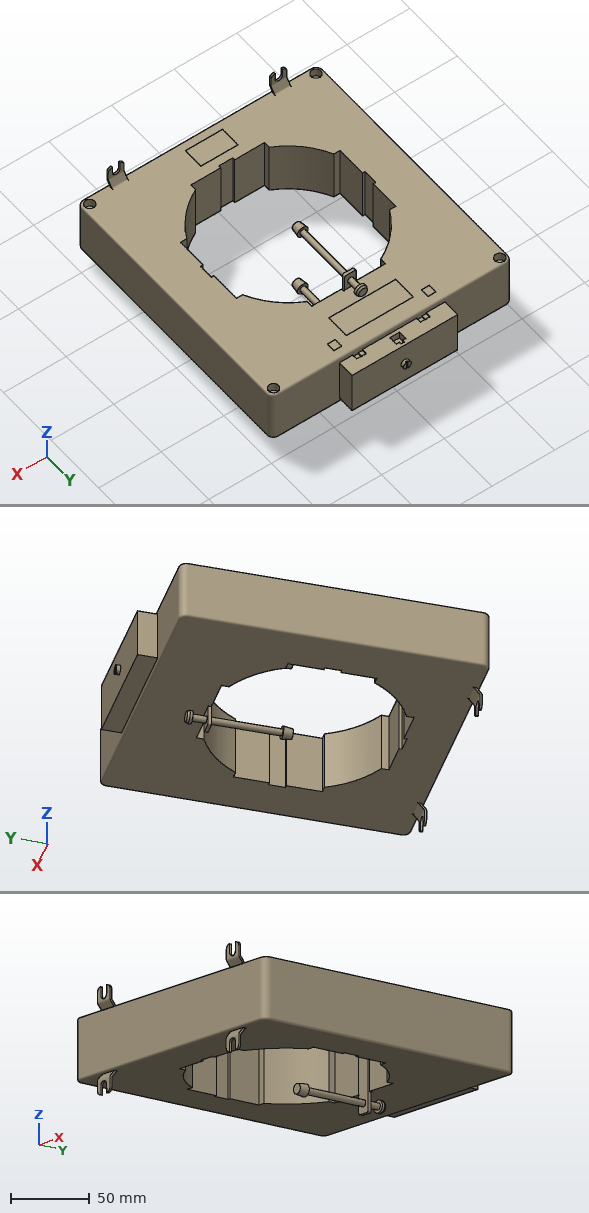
import cadquery as cq
import math


housing_width = 192.0
housing_front = -95.5
housing_back = 109.3
housing_height = 42.0
corner_radius = 5.0
edge_fillet = 1.5
housing_top = housing_height / 2

window_radius = 65.5
flat_distance = 63.5
flat_length = 58.7
slot_width = 11.0
slot_distance = window_radius

corner_hole_diameter = 7.8
corner_hole_depth = 6.7
corner_hole_inset = 5.8

label_depth = 0.2
square_label_x = 37.5
labels = [
    (53.3, 18.5, 0, 87.0),
    (29.5, 16.2, 0, -80.5),
    (6.2, 6.9, -square_label_x, 98.2),
    (6.2, 6.9, square_label_x, 98.2),
]

foot_sheet = 1.5
foot_width = 12.7
foot_spacing = 129.8
feet_overall_height = 71.3
foot_tip_z = feet_overall_height / 2
foot_bend_z = 25.3
foot_slope_angle = 50
foot_flange_length = 2.2
foot_bend_radius = 1.3
foot_corner_radius = 3.3
foot_outer_y = -96.9
foot_slot_width = 5.8
foot_slot_bottom_z = 27.0

block_width = 84.2
block_back = 122.7
block_height = 34.5
block_top = block_height / 2
knob_diameter = 6.2
knob_length = 2.7
knob_slot_width = 1.3
knob_slot_depth = 0.9
pocket_width = 7.5
pocket_front = 112.0
pocket_shoulder = 118.7
pocket_back = 120.5
pocket_neck_width = 2.5
pocket_depth = 5.5
notch_length = 4.0
notch_floors = [(3.3, 0.9), (4.2, 1.8)]
notch_left_edges = [-27.0, 23.8]

strap_width = 9.3
strap_thickness = 2.5
strap_height = 69.0
strap_corner_radius = 1.3
strap_back = slot_distance

screw_z = 27.8
shank_diameter = 4.7
head_diameter = 8.7
head_back = 78.7
head_length = 3.5
head_bevel_length = 1.5
head_bevel = 0.9
tip_start = 15.3
tip_length = 6.7
tip_diameter = 6.9


def centred_box(width, length, height, x, y, z=0):
    """A box given by its sizes and its centre."""
    return cq.Workplane("XY").box(width, length, height).translate((x, y, z))


def box_from_y(width, y_front, y_back, height, z=0):
    """A box centred on x = 0 that runs from y_front to y_back."""
    return centred_box(width, y_back - y_front, height, 0, (y_front + y_back) / 2, z)


def make_window():
    """A round opening with four flats, each with a slot at its middle."""
    round_part = cq.Workplane("XY").circle(window_radius).extrude(housing_top, both=True)
    bounds = centred_box(2 * flat_distance, 2 * flat_distance, housing_height, 0, 0)
    window = round_part.intersect(bounds)
    for turn in (0, 90):
        flats = centred_box(2 * flat_distance, flat_length, housing_height, 0, 0)
        slots = centred_box(2 * slot_distance, slot_width, housing_height, 0, 0)
        window = window.union(flats.union(slots).rotate((0, 0, 0), (0, 0, 1), turn))
    return window


def make_upper_foot(x):
    """Bent sheet: a flange flush in the top face, a slope and an upright slotted tongue."""
    root_z = housing_top - foot_sheet
    inner_y = foot_outer_y + foot_sheet
    bend_shift = foot_sheet * math.tan(math.radians((90 - foot_slope_angle) / 2))
    run_per_drop = 1 / math.tan(math.radians(foot_slope_angle))
    inner_bend_z = foot_bend_z + bend_shift
    slope_foot_y = inner_y + run_per_drop * (inner_bend_z - housing_top)
    flange_end_y = slope_foot_y + foot_flange_length
    profile = [
        (foot_outer_y, foot_tip_z),
        (foot_outer_y, foot_bend_z),
        (foot_outer_y + run_per_drop * (foot_bend_z - root_z), root_z),
        (flange_end_y, root_z),
        (flange_end_y, housing_top),
        (slope_foot_y, housing_top),
        (inner_y, inner_bend_z),
        (inner_y, foot_tip_z),
    ]
    foot = cq.Workplane("YZ").polyline(profile).close().extrude(foot_width / 2, both=True)
    outer_bend = cq.selectors.NearestToPointSelector((0, foot_outer_y, foot_bend_z))
    foot = foot.edges("|X").edges(outer_bend).fillet(foot_bend_radius + foot_sheet)
    inner_bend = cq.selectors.NearestToPointSelector((0, inner_y, inner_bend_z))
    slope_foot = cq.selectors.NearestToPointSelector((0, slope_foot_y, housing_top))
    for bend in (inner_bend, slope_foot):
        foot = foot.edges("|X").edges(bend).fillet(foot_bend_radius)
    foot = foot.faces(">Z").edges("|Y").fillet(foot_corner_radius)

    slot_radius = foot_slot_width / 2
    slot_centre_z = foot_slot_bottom_z + slot_radius
    slot = (
        cq.Workplane("XZ", origin=(0, inner_y, 0))
        .moveTo(-slot_radius, foot_tip_z)
        .lineTo(-slot_radius, slot_centre_z)
        .threePointArc((0, foot_slot_bottom_z), (slot_radius, slot_centre_z))
        .lineTo(slot_radius, foot_tip_z)
        .close()
        .extrude(foot_sheet)
    )
    return foot.cut(slot).translate((x, 0, 0))


def make_housing():
    housing = (
        box_from_y(housing_width, housing_front, housing_back, housing_height)
        .edges("|Z")
        .fillet(corner_radius)
        .faces("<Z or >Z")
        .edges()
        .fillet(edge_fillet)
    )
    housing = housing.cut(make_window())

    hole_x = housing_width / 2 - corner_hole_inset
    hole_points = [
        (x, y)
        for x in (-hole_x, hole_x)
        for y in (housing_front + corner_hole_inset, housing_back - corner_hole_inset)
    ]
    holes = (
        cq.Workplane("XY", origin=(0, 0, housing_top))
        .pushPoints(hole_points)
        .circle(corner_hole_diameter / 2)
        .extrude(-corner_hole_depth)
    )
    housing = housing.cut(holes)

    for width, length, x, y in labels:
        housing = housing.cut(centred_box(width, length, 2 * label_depth, x, y, housing_top))

    for x in (-foot_spacing / 2, foot_spacing / 2):
        foot = make_upper_foot(x)
        housing = housing.union(foot).union(foot.mirror("XY"))
    return housing


def make_terminal_block():
    block = box_from_y(block_width, housing_back, block_back, block_height)

    knob_back = block_back + knob_length
    knob = cq.Workplane("XZ", origin=(0, block_back, 0)).circle(knob_diameter / 2).extrude(-knob_length)
    knob_slot = box_from_y(knob_slot_width, knob_back - knob_slot_depth, knob_back, knob_diameter)
    block = block.union(knob.cut(knob_slot))

    pocket = box_from_y(pocket_width, pocket_front, pocket_shoulder, 2 * pocket_depth, block_top)
    neck = box_from_y(pocket_neck_width, pocket_shoulder, pocket_back, 2 * pocket_depth, block_top)
    block = block.cut(pocket.union(neck))

    for left_edge in notch_left_edges:
        x = left_edge
        for width, depth in notch_floors:
            notch = box_from_y(width, housing_back, housing_back + notch_length, 2 * depth, block_top)
            block = block.cut(notch.translate((x + width / 2, 0, 0)))
            x += width
    return block


def make_screw(z):
    """A screw along Y with a bevelled head at the back and a tapered tip at the front."""
    head_radius = head_diameter / 2
    shank_radius = shank_diameter / 2
    head_front = head_back - head_length
    half_outline = [
        (0, head_back),
        (head_radius - head_bevel, head_back),
        (head_radius, head_back - head_bevel_length),
        (head_radius, head_front),
        (shank_radius, head_front),
        (shank_radius, tip_start),
        (head_radius, tip_start),
        (tip_diameter / 2, tip_start - tip_length),
        (0, tip_start - tip_length),
    ]
    screw = cq.Workplane("XY").polyline(half_outline).close().revolve(360, (0, 0, 0), (0, 1, 0))
    return screw.translate((0, 0, z))


def make_strap():
    """A flat bar in the back slot of the window, with a hole for each screw."""
    strap = box_from_y(strap_width, strap_back - strap_thickness, strap_back, strap_height)
    strap = strap.edges("|Y").fillet(strap_corner_radius)
    holes = (
        cq.Workplane("XZ", origin=(0, strap_back, 0))
        .pushPoints([(0, -screw_z), (0, screw_z)])
        .circle(shank_diameter / 2)
        .extrude(strap_thickness)
    )
    return strap.cut(holes)


housing = make_housing()
terminal_block = make_terminal_block()
strap = make_strap()
screws = [make_screw(z) for z in (-screw_z, screw_z)]

result = cq.Compound.makeCompound(
    [housing.val(), terminal_block.val(), strap.val(), *[screw.val() for screw in screws]]
)